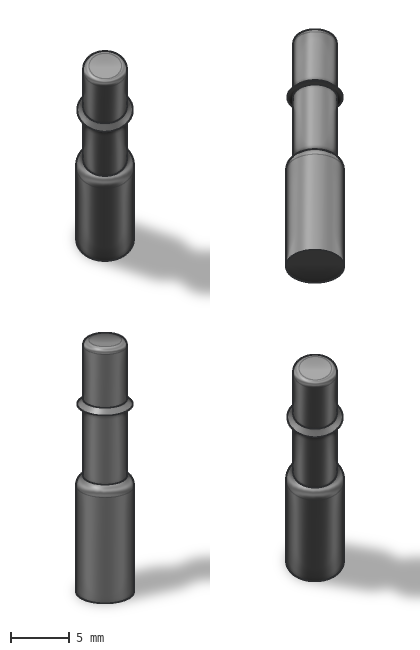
import cadquery as cq
import math

total_height = 23.7
body_diameter = 5.0
body_straight_height = 10.0
shoulder_radius = 1.0
stem_diameter = 3.8
tip_fillet = 0.5
barb_diameter = 4.79
barb_base_height = 17.65
barb_height = 0.5

body_radius = body_diameter / 2
stem_radius = stem_diameter / 2
barb_radius = barb_diameter / 2

arc_center_radius = body_radius - shoulder_radius


def shoulder_point(radius):
    """Point of the shoulder round at the given distance from the axis."""
    rise = math.sqrt(shoulder_radius**2 - (radius - arc_center_radius) ** 2)
    return (radius, body_straight_height + rise)


shoulder_end = shoulder_point(stem_radius)
arc_middle_radius = arc_center_radius + shoulder_radius * math.cos(math.pi / 6)
shoulder_middle = shoulder_point(arc_middle_radius)

profile = (
    cq.Workplane("XZ")
    .lineTo(body_radius, 0)
    .lineTo(body_radius, body_straight_height)
    .threePointArc(shoulder_middle, shoulder_end)
    .lineTo(stem_radius, barb_base_height)
    .lineTo(barb_radius, barb_base_height)
    .lineTo(stem_radius, barb_base_height + barb_height)
    .lineTo(stem_radius, total_height)
    .lineTo(0, total_height)
    .close()
)
pin = profile.revolve(360, (0, 0), (0, 1))

result = pin.faces(">Z").edges().fillet(tip_fillet)